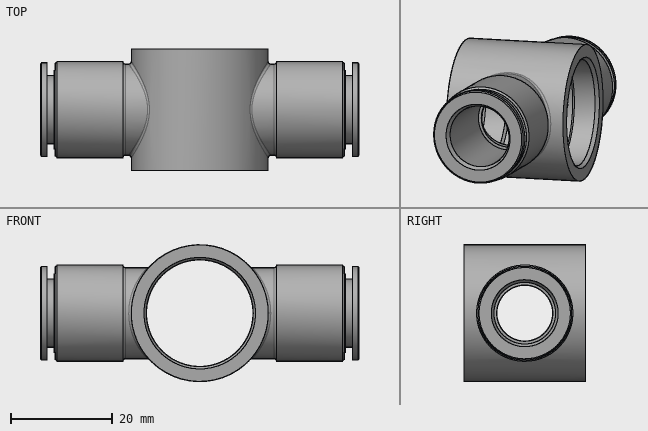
import cadquery as cq
import math

ring_radius = 27.0 / 2
ring_width = 24.0
lip_radius = 21.0 / 2
recess_radius = 22.0 / 2
mouth_radius = 22.0 / 2
mouth_depth = 0.75
recess_half_width = 7.0
recess_bevel = recess_radius - lip_radius

tip_x = 62.8 / 2
flange_radius = 18.5 / 2
flange_inner_x = tip_x - 1.3
flange_chamfer = 0.25
neck_radius = 13.5 / 2
collar_radius = 15.5 / 2
collar_x = tip_x - 2.7
body_radius = 19.0 / 2
body_outer_x = tip_x - 2.9
body_inner_x = tip_x - 16.25
body_chamfer = 0.4

stem_radius = 18.0 / 2
shoulder_fillet = body_radius - stem_radius
stem_end_x = body_inner_x - shoulder_fillet
ring_fillet = 0.5

socket_radius = 12.15 / 2
socket_mouth_radius = 13.2 / 2
socket_mouth_depth = 1.0
socket_end_x = 11.35
passage_radius = 11.0 / 2


def revolve_about_x(profile):
    """Full revolution about the X axis of a closed (x, radius) profile."""
    return profile.close().revolve(360, (0, 0, 0), (1, 0, 0))


def make_ring_and_stems():
    """Ring with both stems crossing it, blended where they meet."""
    ring = cq.Workplane("XZ", origin=(0, ring_width / 2, 0)).circle(ring_radius).extrude(ring_width)
    stems = cq.Workplane("YZ", origin=(-stem_end_x, 0, 0)).circle(stem_radius).extrude(2 * stem_end_x)
    margin = 0.01
    reach = (ring_radius + margin, stem_radius + margin, stem_radius + margin)
    seam_box = cq.selectors.BoxSelector(tuple(-r for r in reach), reach, boundingbox=True)
    return ring.union(stems).edges(seam_box).fillet(ring_fillet)


def make_port():
    """Outside of the +X port: shoulder fillet, body, collar, neck and release flange."""
    arc_offset = shoulder_fillet * math.sqrt(0.5)
    arc_middle = (stem_end_x + arc_offset, body_radius - arc_offset)
    profile = (
        cq.Workplane("XY")
        .moveTo(stem_end_x, 0)
        .lineTo(stem_end_x, stem_radius)
        .threePointArc(arc_middle, (body_inner_x, body_radius))
        .lineTo(body_outer_x - body_chamfer, body_radius)
        .lineTo(body_outer_x, body_radius - body_chamfer)
        .lineTo(body_outer_x, collar_radius)
        .lineTo(collar_x, collar_radius)
        .lineTo(collar_x, neck_radius)
        .lineTo(flange_inner_x, neck_radius)
        .lineTo(flange_inner_x, flange_radius)
        .lineTo(tip_x - flange_chamfer, flange_radius)
        .lineTo(tip_x, flange_radius - flange_chamfer)
        .lineTo(tip_x, 0)
    )
    return revolve_about_x(profile)


def make_port_bore():
    """Material removed along the +X port, from the ring centre to the tip."""
    profile = (
        cq.Workplane("XY")
        .lineTo(0, passage_radius)
        .lineTo(socket_end_x, passage_radius)
        .lineTo(socket_end_x, socket_radius)
        .lineTo(tip_x - socket_mouth_depth, socket_radius)
        .lineTo(tip_x, socket_mouth_radius)
        .lineTo(tip_x, 0)
    )
    return revolve_about_x(profile)


def make_ring_bore():
    """Ring bore: a lip behind each bevelled mouth and a wider recess between the lips."""
    half_width = ring_width / 2
    half_profile = [
        (mouth_radius, half_width),
        (lip_radius, half_width - mouth_depth),
        (lip_radius, recess_half_width),
        (recess_radius, recess_half_width - recess_bevel),
    ]
    other_half = [(radius, -y) for radius, y in reversed(half_profile)]
    outline = [(0, half_width)] + half_profile + other_half + [(0, -half_width)]
    return cq.Workplane("XY").polyline(outline).close().revolve(360, (0, 0, 0), (0, 1, 0))


port = make_port()
port_bore = make_port_bore()
result = make_ring_and_stems().union(port).union(port.mirror("YZ"))
result = result.cut(port_bore).cut(port_bore.mirror("YZ")).cut(make_ring_bore())